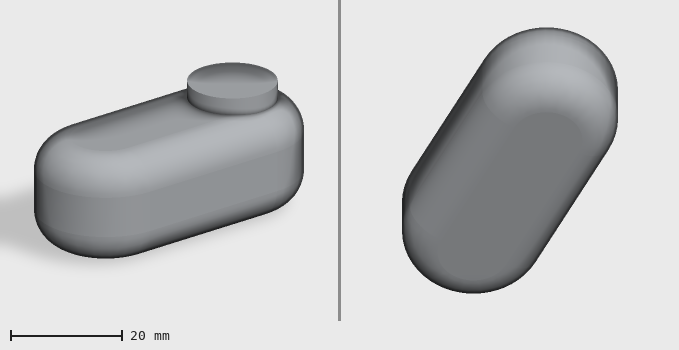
import cadquery as cq

length = 54.6
width = 25.65
total_height = 23.65
edge_radius = 6.4

button_height = 3.2
button_diameter = 16.3
button_embed = 1.1

body_height = total_height - button_height
end_center_y = (length - width) / 2


def make_body():
    """Slot-shaped block with its top and bottom edges rounded."""
    block = cq.Workplane("XY").slot2D(length, width, 90).extrude(body_height)
    return block.faces("<Z or >Z").edges().fillet(edge_radius)


def make_button():
    """Plain disc standing on the +Y end of the body."""
    return (
        cq.Workplane("XY", origin=(0, end_center_y, body_height - button_embed))
        .circle(button_diameter / 2)
        .extrude(button_height + button_embed)
    )


result = make_body().union(make_button())